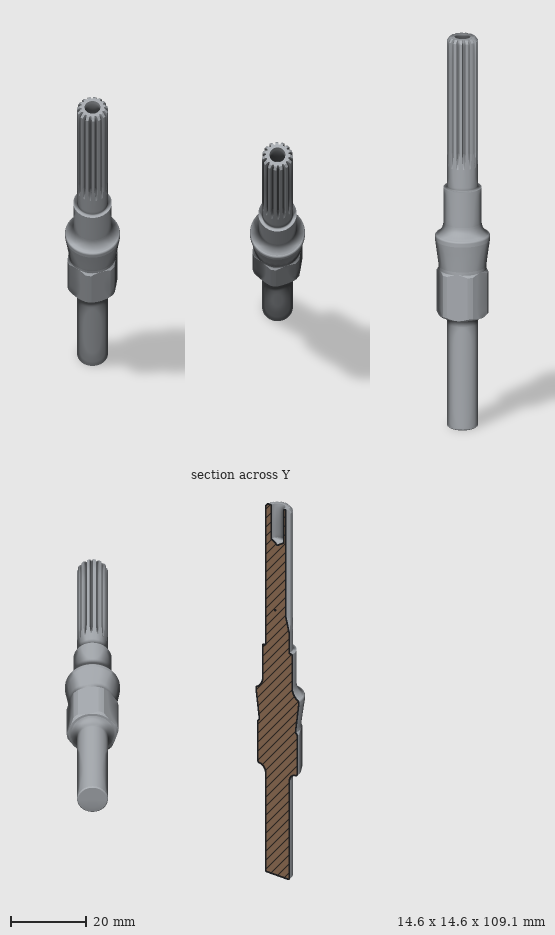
import cadquery as cq
import math

TOTAL_LENGTH = 109.06
NECK_BOTTOM_Z = 29.1
HEX_BOTTOM_Z = 31.4
HEX_TOP_Z = 44.2
CONE_BOTTOM_Z = 45.1
CONE_TOP_Z = 52.4
RIM_ROUND_Z = 53.4
FLANGE_TOP_Z = 54.0
COLLAR_BOTTOM_Z = 57.1
COLLAR_TOP_Z = 67.0

SHAFT_RADIUS = 4.1
COLLAR_RADIUS = 5.1
FLANGE_RADIUS = 14.63 / 2
NECK_TOP_RADIUS = 5.7
SHOULDER_RADIUS = 6.85
ROOT_FILLET = 0.3

FOOT_CHAMFER = 0.3
TIP_CHAMFER_WIDTH = 0.75
TIP_CHAMFER_HEIGHT = 0.9

HEX_ACROSS_FLATS = 12.66
HEX_CORNER_RADIUS = 6.9
HEX_BEVEL_HEIGHT = 0.6

GROOVE_COUNT = 15
GROOVE_ROOT_RADIUS = 3.0
GROOVE_ROOT_WIDTH = 0.4
GROOVE_MOUTH_WIDTH = 1.0
SPLINE_BOTTOM_Z = 77.2
RUNOUT_BOTTOM_Z = 73.0

HOLE_RADIUS = 2.1
HOLE_DEPTH = 10.0
DRILL_POINT_ANGLE = 118

CUT_CLEARANCE = 0.5


def arc_middle(wall_radius, wall_z, end_radius, end_z):
    """Middle point (r, z) of the arc that leaves a vertical wall tangentially and ends at a given point."""
    reach = end_radius - wall_radius
    rise = end_z - wall_z
    arc_radius = (reach**2 + rise**2) / (2 * abs(reach))
    half_sweep = math.asin(abs(rise) / arc_radius) / 2
    middle_reach = math.copysign(arc_radius * (1 - math.cos(half_sweep)), reach)
    middle_rise = math.copysign(arc_radius * math.sin(half_sweep), rise)
    return wall_radius + middle_reach, wall_z + middle_rise


def turned_body():
    """Everything that is round about Z; the hexagon zone is left at its corner radius."""
    waist_radius = HEX_ACROSS_FLATS / 2
    neck_middle = arc_middle(SHAFT_RADIUS, NECK_BOTTOM_Z, NECK_TOP_RADIUS, HEX_BOTTOM_Z)
    rim_middle = arc_middle(FLANGE_RADIUS, RIM_ROUND_Z, SHOULDER_RADIUS, FLANGE_TOP_Z)
    shoulder_middle = arc_middle(COLLAR_RADIUS, COLLAR_BOTTOM_Z, SHOULDER_RADIUS, FLANGE_TOP_Z)
    root_middle = arc_middle(
        SHAFT_RADIUS, COLLAR_TOP_Z + ROOT_FILLET, SHAFT_RADIUS + ROOT_FILLET, COLLAR_TOP_Z
    )

    profile = (
        cq.Workplane("XZ")
        .moveTo(0, 0)
        .lineTo(SHAFT_RADIUS - FOOT_CHAMFER, 0)
        .lineTo(SHAFT_RADIUS, FOOT_CHAMFER)
        .lineTo(SHAFT_RADIUS, NECK_BOTTOM_Z)
        .threePointArc(neck_middle, (NECK_TOP_RADIUS, HEX_BOTTOM_Z))
        .lineTo(waist_radius, HEX_BOTTOM_Z)
        .lineTo(HEX_CORNER_RADIUS, HEX_BOTTOM_Z + HEX_BEVEL_HEIGHT)
        .lineTo(HEX_CORNER_RADIUS, HEX_TOP_Z - HEX_BEVEL_HEIGHT)
        .lineTo(waist_radius, HEX_TOP_Z)
        .lineTo(waist_radius, CONE_BOTTOM_Z)
        .lineTo(FLANGE_RADIUS, CONE_TOP_Z)
        .lineTo(FLANGE_RADIUS, RIM_ROUND_Z)
        .threePointArc(rim_middle, (SHOULDER_RADIUS, FLANGE_TOP_Z))
        .threePointArc(shoulder_middle, (COLLAR_RADIUS, COLLAR_BOTTOM_Z))
        .lineTo(COLLAR_RADIUS, COLLAR_TOP_Z)
        .lineTo(SHAFT_RADIUS + ROOT_FILLET, COLLAR_TOP_Z)
        .threePointArc(root_middle, (SHAFT_RADIUS, COLLAR_TOP_Z + ROOT_FILLET))
        .lineTo(SHAFT_RADIUS, TOTAL_LENGTH - TIP_CHAMFER_HEIGHT)
        .lineTo(SHAFT_RADIUS - TIP_CHAMFER_WIDTH, TOTAL_LENGTH)
        .lineTo(0, TOTAL_LENGTH)
        .close()
    )
    return profile.revolve(360, (0, 0, 0), (0, 1, 0))


def hex_flats_cutter():
    """Ring whose hexagonal bore leaves six flats, two of them facing -Y and +Y."""
    height = HEX_TOP_Z - HEX_BOTTOM_Z
    across_corners = HEX_ACROSS_FLATS / math.cos(math.radians(30))
    return (
        cq.Workplane("XY")
        .workplane(offset=HEX_BOTTOM_Z)
        .circle(HEX_CORNER_RADIUS + CUT_CLEARANCE)
        .polygon(6, across_corners)
        .extrude(height)
    )


def groove_section(z, root_radius):
    """Tapered groove outline on the +X side, continued past the shaft surface along its flanks."""
    depth = SHAFT_RADIUS - GROOVE_ROOT_RADIUS
    flank_slope = (GROOVE_MOUTH_WIDTH - GROOVE_ROOT_WIDTH) / 2 / depth
    section_depth = depth + CUT_CLEARANCE
    outer_half_width = GROOVE_ROOT_WIDTH / 2 + flank_slope * section_depth
    outer_radius = root_radius + section_depth
    corners = [
        cq.Vector(root_radius, -GROOVE_ROOT_WIDTH / 2, z),
        cq.Vector(outer_radius, -outer_half_width, z),
        cq.Vector(outer_radius, outer_half_width, z),
        cq.Vector(root_radius, GROOVE_ROOT_WIDTH / 2, z),
    ]
    return cq.Wire.makePolygon(corners, close=True)


def groove_cutter():
    """One spline groove: a straight length and a runout whose root climbs to the shaft surface."""
    straight = cq.Solid.makeLoft(
        [
            groove_section(SPLINE_BOTTOM_Z, GROOVE_ROOT_RADIUS),
            groove_section(TOTAL_LENGTH + CUT_CLEARANCE, GROOVE_ROOT_RADIUS),
        ],
        True,
    )
    runout = cq.Solid.makeLoft(
        [
            groove_section(RUNOUT_BOTTOM_Z, SHAFT_RADIUS),
            groove_section(SPLINE_BOTTOM_Z, GROOVE_ROOT_RADIUS),
        ],
        True,
    )
    return straight.fuse(runout)


def spline_cutters():
    """All grooves, evenly spaced with one of them facing -X."""
    groove = groove_cutter()
    cutters = cq.Workplane("XY")
    for index in range(GROOVE_COUNT):
        angle = 180 + index * 360 / GROOVE_COUNT
        cutters = cutters.add(groove.rotate(cq.Vector(0, 0, 0), cq.Vector(0, 0, 1), angle))
    return cutters.combine()


def centre_hole():
    """Blind drilled hole with a conical bottom in the splined end."""
    tip_depth = HOLE_RADIUS / math.tan(math.radians(DRILL_POINT_ANGLE / 2))
    floor_z = TOTAL_LENGTH - HOLE_DEPTH
    profile = (
        cq.Workplane("XZ")
        .moveTo(0, TOTAL_LENGTH)
        .lineTo(HOLE_RADIUS, TOTAL_LENGTH)
        .lineTo(HOLE_RADIUS, floor_z)
        .lineTo(0, floor_z - tip_depth)
        .close()
    )
    return profile.revolve(360, (0, 0, 0), (0, 1, 0))


result = (
    turned_body()
    .cut(hex_flats_cutter())
    .cut(spline_cutters())
    .cut(centre_hole())
)